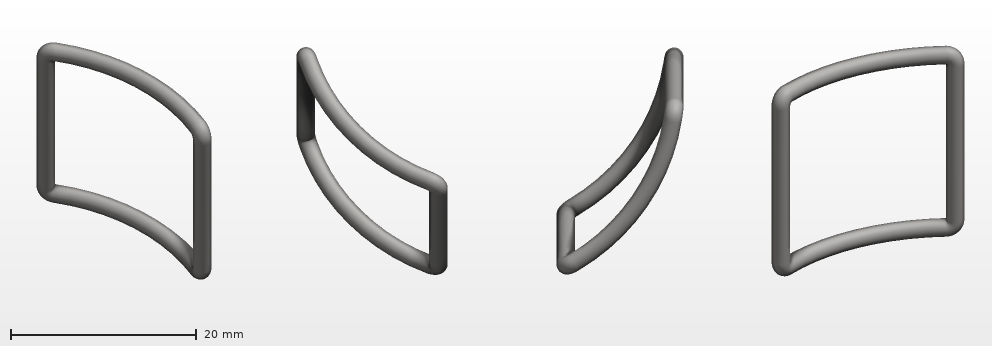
import cadquery as cq
import math

wire_diameter = 2.0
leg_length = 18.96
bend_radius = 1.02
bow_radius = 22.98
left_angle = 19.1
right_angle = 30.6

wire_radius = wire_diameter / 2
bar_height = leg_length / 2 + bend_radius
bow_centre_y = -bow_radius


def bow_point(angle):
    """Point on the bow centreline, at an angle in degrees from the crown toward +X."""
    turn = math.radians(angle)
    return (bow_radius * math.sin(turn), bow_centre_y + bow_radius * math.cos(turn))


def outward_direction(angle):
    """Horizontal tangent of the bow, pointing away from the crown."""
    side = math.copysign(1, angle)
    turn = math.radians(angle)
    return (side * math.cos(turn), -side * math.sin(turn))


def curved_bar(height):
    """Round bar bowed about a vertical axis at the bow centre."""
    out_x, out_y = outward_direction(-left_angle)
    section = cq.Plane(
        origin=(0, bow_centre_y, height),
        xDir=(out_y, -out_x, 0),
        normal=(out_x, out_y, 0),
    )
    return (
        cq.Workplane(section)
        .center(bow_radius, 0)
        .circle(wire_radius)
        .revolve(left_angle + right_angle, (-bow_radius, 0, 0), (-bow_radius, 1, 0))
    )


def leg_and_bends(angle):
    """Upright leg with a quarter bend at each end leading into the curved bars."""
    x, y = bow_point(angle)
    out_x, out_y = outward_direction(angle)
    leg_plane = cq.Plane(
        origin=(x + bend_radius * out_x, y + bend_radius * out_y, -leg_length / 2),
        xDir=(out_x, out_y, 0),
        normal=(0, 0, 1),
    )
    side = cq.Workplane(leg_plane).circle(wire_radius).extrude(leg_length)
    for end in (-1, 1):
        centre = (x, y, end * leg_length / 2)
        bend_plane = cq.Plane(origin=centre, xDir=(out_x, out_y, 0), normal=(0, 0, end))
        bend = (
            cq.Workplane(bend_plane)
            .center(bend_radius, 0)
            .circle(wire_radius)
            .revolve(90, (-bend_radius, 0, 0), (-bend_radius, -1, 0))
        )
        side = side.union(bend)
    return side


result = leg_and_bends(-left_angle).union(leg_and_bends(right_angle))
for bar_z in (-bar_height, bar_height):
    result = result.union(curved_bar(bar_z))